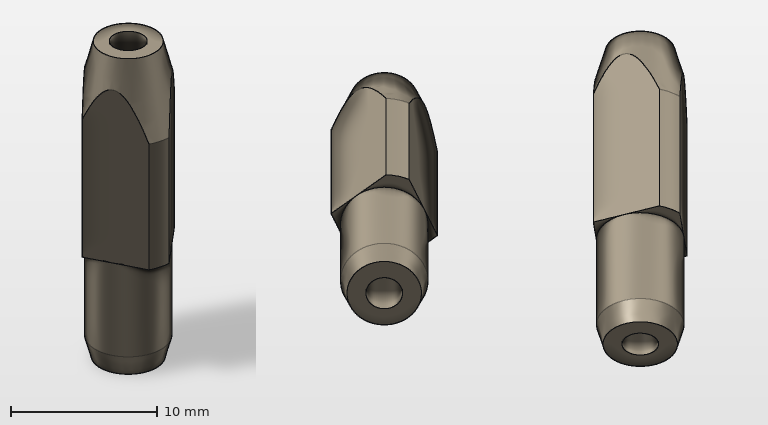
import cadquery as cq

total_height = 25.0
shank_height = 9.0
lead_in_height = 1.65
cone_height = 6.0

shank_radius = 3.0
lead_in_radius = 2.55
body_radius = 4.0
nose_radius = 2.4
upper_bore_radius = 1.3
lower_bore_radius = 1.25

corner_y = 3.75
corner_x = 5.0


def turned_profile():
    """Revolve the outer silhouette: lead-in, shank, body and tapered nose."""
    return (
        cq.Workplane("XZ")
        .moveTo(0, 0)
        .lineTo(lead_in_radius, 0)
        .lineTo(shank_radius, lead_in_height)
        .lineTo(shank_radius, shank_height)
        .lineTo(body_radius, shank_height)
        .lineTo(body_radius, total_height - cone_height)
        .lineTo(nose_radius, total_height)
        .lineTo(0, total_height)
        .close()
        .revolve(360, (0, 0, 0), (0, 1, 0))
    )


def diamond_prism():
    """Full-height diamond whose four faces form the flats of the body."""
    corners = [(corner_x, 0), (0, corner_y), (-corner_x, 0), (0, -corner_y)]
    return cq.Workplane("XY").polyline(corners).close().extrude(total_height)


def bore():
    """Through hole along the axis, slightly wider above the shank."""
    lower = cq.Workplane("XY").circle(lower_bore_radius).extrude(total_height)
    upper = (
        cq.Workplane("XY")
        .workplane(offset=shank_height)
        .circle(upper_bore_radius)
        .extrude(total_height - shank_height)
    )
    return lower.union(upper)


result = turned_profile().intersect(diamond_prism()).cut(bore())